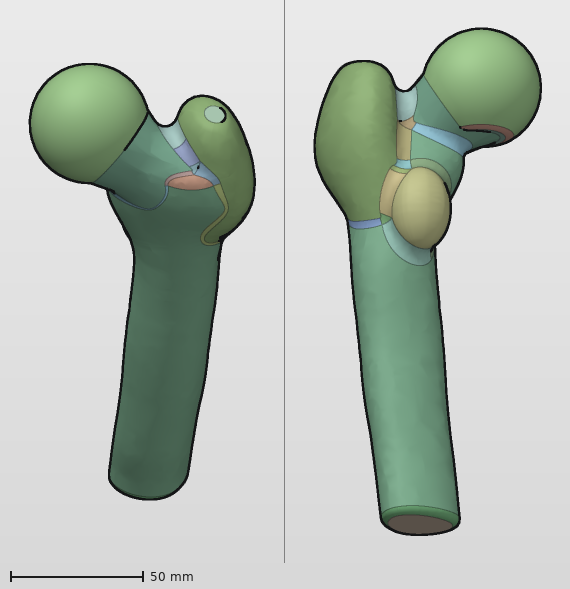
import cadquery as cq
import math


HEAD_RADIUS = 22.7
HEAD_TOP = 193.8
HEAD_UNDERSIDE = 151.1
HEAD_EDGE_ROUND = 5.8
HEAD_CENTRE = cq.Vector(HEAD_RADIUS, HEAD_RADIUS, HEAD_TOP - HEAD_RADIUS)

CUT_END_ROUND = 2.7
SHAFT_STATIONS = [
    (48.5, 18.0, 0, 14.3, 14.5, 17),
    (50.4, 18.0, 17.5, 14.5, 14.5, 17),
    (51.7, 18.0, 29, 14.5, 14.7, 17),
    (53.0, 18.8, 40.7, 14.7, 14.7, 17),
    (54.3, 19.5, 52.3, 15.1, 14.7, 17),
    (55.6, 21.5, 75.5, 15.5, 14.7, 17),
    (56.8, 25.0, 98.8, 15.9, 15.1, 8),
    (56.8, 25.8, 116.3, 17.0, 14.3, 0),
    (54.8, 26.2, 129.8, 21.7, 14.3, 0),
    (55.5, 25.5, 141.5, 26.4, 14.7, 0),
    (59.3, 24.5, 153, 24.0, 14.0, 0),
    (60.8, 24.0, 164.7, 15.5, 10.9, 0),
]

NECK_DIRECTION = cq.Vector(1.63, 0, -1.05)
NECK_STATIONS = [
    (2, 21.0, 21.3),
    (7, 17.8, 18.0),
    (12, 16.3, 14.0),
    (17, 18.0, 12.5),
    (22, 20.3, 12.0),
]

GREATER_TURN = cq.Vector(-1, 1, 0)
GREATER_STATIONS = [
    (59.7, 27.1, 112.4, 12.5, 10.7),
    (64.3, 32.2, 133.7, 18.2, 14.5),
    (68.2, 34.5, 149.2, 21.7, 14.5),
    (67.0, 36.0, 164.7, 19.4, 13.0),
    (66.3, 36.2, 174.4, 15.5, 10.3),
    (68.8, 35.3, 180.8, 4.8, 3.9),
]

LESSER_CENTRE = cq.Vector(42.5, 36.5, 120.1)
LESSER_RADIUS = 11.6
LESSER_HALF_HEIGHT = 16.5

LESSER_BLEND = 5.8
GREATER_BLEND = 5.8
NECK_BLEND = 4.8

SEAM_TOLERANCE = 0.02

ELLIPSE_POINTS = 12
FLATTENED_CORNER = math.radians(135)
LATERAL = cq.Vector(1, 0, 0)
BACKWARD = cq.Vector(0, 1, 0)
UP = cq.Vector(0, 0, 1)


def ellipse_wire(centre, x_direction, first, second, normal, flattening=0):
    """Closed smooth ellipse starting on x_direction, optionally flattened at one corner."""
    plane = cq.Plane(centre, x_direction, normal)
    turns = [2 * math.pi * i / ELLIPSE_POINTS for i in range(ELLIPSE_POINTS)]
    points = []
    for turn in turns:
        share = (1 + math.cos(turn - FLATTENED_CORNER)) / 2
        shifted = turn + math.radians(flattening) * share
        points.append(plane.toWorldCoords((first * math.cos(turn), second * math.sin(shifted))))
    return cq.Wire.assembleEdges([cq.Edge.makeSpline(points, periodic=True)])


def loft_ellipses(stations, normal, x_direction):
    """Smooth solid through ellipses given as (centre, radius along x_direction, other radius, flattening)."""
    wires = [
        ellipse_wire(centre, x_direction, first, second, normal, *flattening)
        for centre, first, second, *flattening in stations
    ]
    return cq.Workplane(cq.occ_impl.shapes.loft(*wires, cap=True, parametrization="chordal"))


def level_loft(stations, x_direction):
    """Smooth solid through ellipses on level planes."""
    placed = [(cq.Vector(x, y, z), *shape) for x, y, z, *shape in stations]
    return loft_ellipses(placed, UP, x_direction)


def make_shaft():
    shaft = level_loft(SHAFT_STATIONS, LATERAL)
    return shaft.faces("<Z").edges().fillet(CUT_END_ROUND)


def make_head():
    ball = cq.Workplane().sphere(HEAD_RADIUS).translate(HEAD_CENTRE)
    below = cq.Workplane().circle(2 * HEAD_RADIUS).extrude(HEAD_UNDERSIDE)
    flattened = ball.cut(below.translate((HEAD_CENTRE.x, HEAD_CENTRE.y, 0)))
    return flattened.faces("<Z").edges().fillet(HEAD_EDGE_ROUND)


def make_neck():
    placed = [(HEAD_CENTRE + NECK_DIRECTION * distance, *radii) for distance, *radii in NECK_STATIONS]
    return loft_ellipses(placed, NECK_DIRECTION, NECK_DIRECTION.cross(BACKWARD))


def make_lesser():
    profile = (
        cq.Workplane("XZ")
        .moveTo(0, -LESSER_HALF_HEIGHT)
        .ellipseArc(LESSER_RADIUS, LESSER_HALF_HEIGHT, -90, 90, startAtCurrent=True)
        .close()
    )
    return profile.revolve(360, (0, 0), (0, 1)).translate(LESSER_CENTRE)


def make_greater():
    return level_loft(GREATER_STATIONS, GREATER_TURN)


def fuse_blended(body, addition, radius):
    """Join two solids and round the seam between them."""
    old_centres = [edge.Center() for edge in body.edges().vals() + addition.edges().vals()]
    joined = body.union(addition)
    seam = [
        edge
        for edge in joined.edges().vals()
        if min((edge.Center() - centre).Length for centre in old_centres) > SEAM_TOLERANCE
    ]
    return joined.newObject(seam).fillet(radius)


neck_and_head = make_neck().union(make_head())
result = fuse_blended(make_shaft(), make_lesser(), LESSER_BLEND)
result = fuse_blended(result, make_greater(), GREATER_BLEND)
result = fuse_blended(result, neck_and_head, NECK_BLEND)